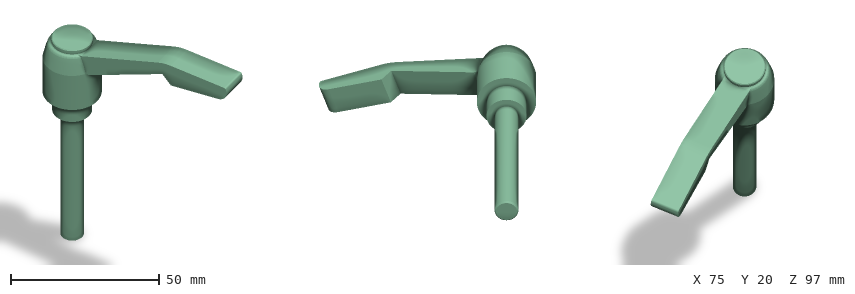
import cadquery as cq
import math

stud_radius = 4.0
stud_length = 55.0
stud_chamfer = 0.5
collar_radius = 6.75
collar_height = 8.0

hub_radius = 10.0
hub_cylinder_height = 15.0
shoulder_top_radius = 8.05
shoulder_bulge = 0.17
shoulder_height = 7.0
shoulder_fillet = 1.4

cap_radius = 7.0
cap_height = 1.7
cap_chamfer = 0.3

arm_width = 10.0
arm_start_x = 7.0
arm_end_x = 65.0
arm_top_z = 42.0
arm_slope = math.radians(20)
bend_radius = 15.0
notch_x = 39.3
notch_z = 36.85
notch_drop = 3.45
grip_slope = math.radians(8)
tip_radius = 4.0
tip_fillet = 0.75

hub_base_z = collar_height
shoulder_base_z = hub_base_z + hub_cylinder_height
shoulder_top_z = shoulder_base_z + shoulder_height


def make_stud():
    """Plain stud with a chamfered lower end."""
    stud = cq.Workplane("XY").circle(stud_radius).extrude(-stud_length)
    return stud.faces("<Z").chamfer(stud_chamfer)


def make_hub():
    """Collar, hub cylinder and tapered shoulder."""
    collar = cq.Workplane("XY").circle(collar_radius).extrude(collar_height)
    cylinder = cq.Workplane("XY", origin=(0, 0, hub_base_z)).circle(hub_radius).extrude(hub_cylinder_height)
    mean_radius = (hub_radius + shoulder_top_radius) / 2
    shoulder = (
        cq.Workplane("XZ")
        .moveTo(0, shoulder_base_z)
        .lineTo(hub_radius, shoulder_base_z)
        .threePointArc(
            (mean_radius + shoulder_bulge, shoulder_base_z + shoulder_height / 2),
            (shoulder_top_radius, shoulder_top_z),
        )
        .lineTo(0, shoulder_top_z)
        .close()
        .revolve(360, (0, 0), (0, 1))
        .faces(">Z")
        .edges()
        .fillet(shoulder_fillet)
    )
    return collar.union(cylinder).union(shoulder)


def make_cap():
    """Round button with a chamfered top edge."""
    cap = cq.Workplane("XY", origin=(0, 0, shoulder_top_z)).circle(cap_radius).extrude(cap_height)
    return cap.faces(">Z").chamfer(cap_chamfer)


def round_edge(body, x, z, radius):
    """Fillet the edge that runs across the arm at the given x and z."""
    return body.edges(cq.selectors.NearestToPointSelector((x, 0, z))).fillet(radius)


def make_arm():
    """Flat-sided lever: sloping arm, rounded bend, notch and round-tipped grip."""
    bend_x = arm_start_x + (arm_top_z - shoulder_top_z) / math.tan(arm_slope)
    heel_x = notch_x + notch_drop
    heel_z = notch_z - notch_drop

    corner_z = heel_z + (arm_end_x - heel_x) * math.tan(grip_slope)
    tangent_length = tip_radius / math.tan((math.pi / 2 + grip_slope) / 2)
    tip_start_x = arm_end_x - tangent_length * math.cos(grip_slope)
    tip_start_z = corner_z - tangent_length * math.sin(grip_slope)
    tip_center_x = arm_end_x - tip_radius
    tip_center_z = corner_z + tangent_length
    tip_top_x = tip_center_x + math.sqrt(tip_radius**2 - (arm_top_z - tip_center_z) ** 2)

    arm = (
        cq.Workplane("XZ", origin=(0, arm_width / 2, 0))
        .moveTo(0, shoulder_base_z)
        .lineTo(hub_radius, shoulder_base_z)
        .lineTo(notch_x, notch_z)
        .lineTo(heel_x, heel_z)
        .lineTo(tip_start_x, tip_start_z)
        .threePointArc((arm_end_x, tip_center_z), (tip_top_x, arm_top_z))
        .lineTo(bend_x, arm_top_z)
        .lineTo(arm_start_x, shoulder_top_z)
        .lineTo(0, shoulder_top_z)
        .close()
        .extrude(arm_width)
    )
    arm = round_edge(arm, bend_x, arm_top_z, bend_radius)
    return round_edge(arm, tip_top_x, arm_top_z, tip_fillet)


result = make_stud().union(make_hub()).union(make_arm()).union(make_cap())